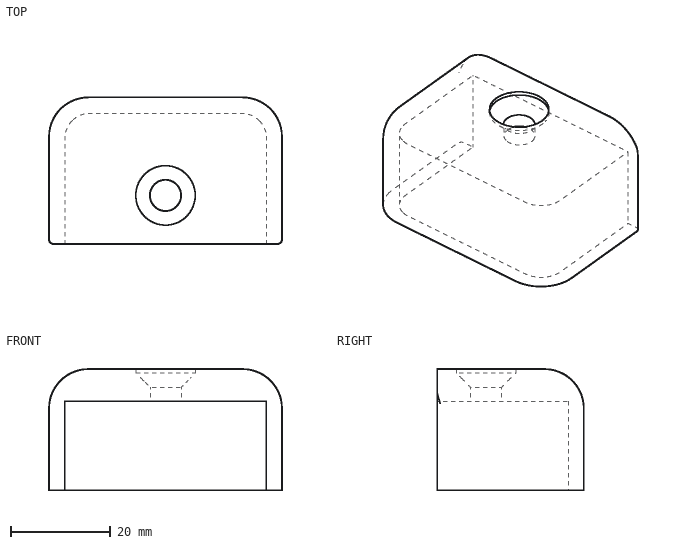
import cadquery as cq

width = 47.0
depth = 29.6
height = 24.5
outer_radius = 8.0
front_corner_radius = 1.0

side_wall = 3.2
back_wall = side_wall
roof = 6.55
cavity_radius = 5.0

hole_from_front = 9.8
hole_diameter = 6.25
head_diameter = 12.0
head_recess = 0.8
cone_depth = (head_diameter - hole_diameter) / 2

front_y = -depth / 2


def rounded_shell():
    """Solid block with a rounded back, rounded top edges and softened front corners."""
    block = cq.Workplane("XY").box(width, depth, height, centered=(True, True, False))
    block = block.edges("|Z and >Y").fillet(outer_radius)
    block = block.faces(">Z").edges("not <Y").fillet(outer_radius)

    plan = cq.Workplane("XY").box(width, depth, height, centered=(True, True, False))
    plan = plan.edges("|Z and <Y").fillet(front_corner_radius)
    return block.intersect(plan)


def cavity():
    """Pocket open at the front and bottom, rounded at its two back corners."""
    pocket = (
        cq.Workplane("XY")
        .box(width - 2 * side_wall, depth - back_wall, height - roof, centered=(True, False, False))
        .translate((0, front_y, 0))
    )
    return pocket.edges("|Z and >Y").fillet(cavity_radius)


def screw_hole():
    """Through hole with a conical seat below a shallow cylindrical recess."""
    hole_radius = hole_diameter / 2
    head_radius = head_diameter / 2
    recess_floor = height - head_recess
    profile = (
        cq.Workplane("XZ")
        .lineTo(hole_radius, 0)
        .lineTo(hole_radius, recess_floor - cone_depth)
        .lineTo(head_radius, recess_floor)
        .lineTo(head_radius, height)
        .lineTo(0, height)
        .close()
    )
    tool = profile.revolve(360, (0, 0, 0), (0, 1, 0))
    return tool.translate((0, front_y + hole_from_front, 0))


result = rounded_shell().cut(cavity()).cut(screw_hole())